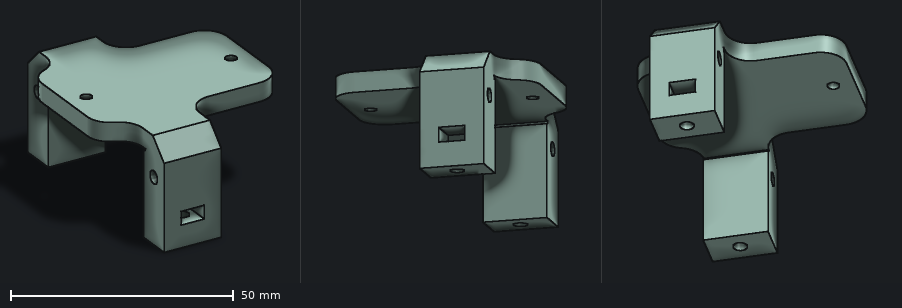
import cadquery as cq
import math

span = 59.3
depth = 48.0
height = 27.3

plate_thickness = 4.8
plate_width = 30.0
plate_center_x = -0.7
corner_radius = 6.0
plate_hole_diameter = 2.7
plate_hole_x = 0.3
plate_hole_margin = 5.05

leg_thickness = 9.0
leg_front = 7.7
leg_width = 15.0
leg_chamfer = 4.9
relief_radius = 0.7

screw_diameter = 3.2
cross_hole_height = 16.95
pocket_width = 6.1
pocket_height = 3.45
pocket_floor = 5.75

half_span = span / 2
underside = height - plate_thickness
leg_back = leg_front + leg_width
leg_center_y = leg_front + leg_width / 2
leg_center_x = half_span - leg_thickness / 2
pocket_depth = leg_thickness / 2 + pocket_width / 2


def plate():
    """Plate with rounded corners, blended by arcs into the two side arms."""
    half = plate_width / 2
    r = corner_radius
    r_diagonal = r * math.sqrt(0.5)
    blend = half + r

    rise = leg_front - 2 * r
    run = math.sqrt((2 * r) ** 2 - rise ** 2)
    front_half = blend - run
    meet_x = blend - run / 2
    meet_y = leg_front / 2
    sweep = math.atan2(run, -rise)
    arc_x = r * math.sin(sweep / 2)
    arc_y = r * (1 - math.cos(sweep / 2))

    outline = (
        cq.Workplane("XY", origin=(plate_center_x, 0, underside))
        .moveTo(-front_half, 0)
        .lineTo(front_half, 0)
        .threePointArc((front_half + arc_x, arc_y), (meet_x, meet_y))
        .threePointArc((blend - arc_x, leg_front - arc_y), (blend, leg_front))
        .lineTo(blend, leg_back)
        .threePointArc((blend - r_diagonal, leg_back + r - r_diagonal), (half, leg_back + r))
        .lineTo(half, depth - r)
        .threePointArc((half - r + r_diagonal, depth - r + r_diagonal), (half - r, depth))
        .lineTo(r - half, depth)
        .threePointArc((r - half - r_diagonal, depth - r + r_diagonal), (-half, depth - r))
        .lineTo(-half, leg_back + r)
        .threePointArc((r_diagonal - blend, leg_back + r - r_diagonal), (-blend, leg_back))
        .lineTo(-blend, leg_front)
        .threePointArc((arc_x - blend, leg_front - arc_y), (-meet_x, meet_y))
        .threePointArc((-front_half - arc_x, arc_y), (-front_half, 0))
        .close()
    )
    return outline.extrude(plate_thickness)


def leg_frame():
    """Two legs joined by a bridge, with chamfered outer top edges."""
    frame = (
        cq.Workplane("XY")
        .box(span, leg_width, height, centered=(True, False, False))
        .edges("|Y and >Z")
        .chamfer(leg_chamfer)
    )
    gap = cq.Workplane("XY").box(
        span - 2 * leg_thickness, leg_width, underside, centered=(True, False, False)
    )
    return frame.cut(gap).translate((0, leg_front, 0))


def corner_relief(side):
    """Quarter-round groove in a leg's inner face, just below the plate."""
    inner_x = side * (half_span - leg_thickness)
    groove = (
        cq.Workplane("XZ", origin=(inner_x, leg_back, underside))
        .circle(relief_radius)
        .extrude(leg_width)
    )
    below_plate = cq.Workplane("XY").box(
        span, depth, underside, centered=(True, False, False)
    )
    return groove.intersect(below_plate)


def leg_holes(side):
    """Cross hole, nut pocket from the outer face and screw hole from the foot up to the pocket."""
    x = side * leg_center_x
    cross_hole = (
        cq.Workplane("XZ", origin=(x, leg_back, cross_hole_height))
        .circle(screw_diameter / 2)
        .extrude(leg_width)
    )
    pocket = (
        cq.Workplane("XY")
        .box(pocket_depth, pocket_width, pocket_height, centered=(True, True, False))
        .translate((side * (half_span - pocket_depth / 2), leg_center_y, pocket_floor))
    )
    foot_hole = (
        cq.Workplane("XY", origin=(x, leg_center_y, 0))
        .circle(screw_diameter / 2)
        .extrude(pocket_floor + pocket_height)
    )
    return cross_hole.union(pocket).union(foot_hole)


def plate_holes():
    """Two through holes near the plate's front and back edges."""
    return (
        cq.Workplane("XY", origin=(plate_hole_x, 0, underside))
        .pushPoints([(0, plate_hole_margin), (0, depth - plate_hole_margin)])
        .circle(plate_hole_diameter / 2)
        .extrude(plate_thickness)
    )


result = plate().union(leg_frame()).cut(plate_holes())
for side in (-1, 1):
    result = result.cut(corner_relief(side)).cut(leg_holes(side))